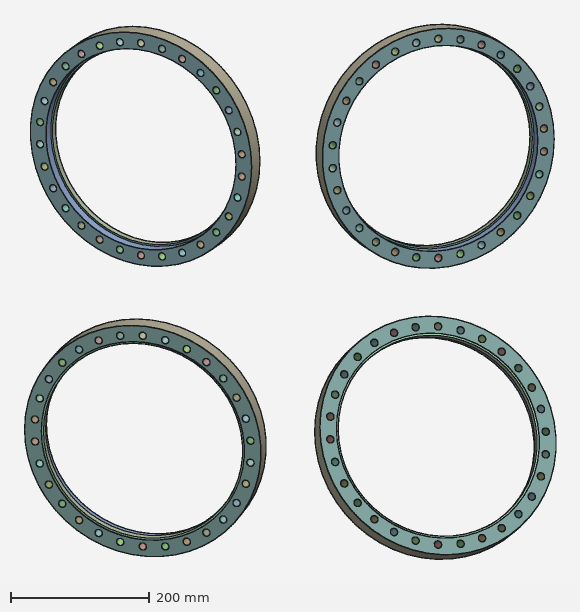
import cadquery as cq

outer_diameter = 355.6
thickness = 28.4
edge_chamfer = 0.5

bore_diameter = 299.0
pocket_diameter = 304.4
pocket_depth = 15.7
pocket_chamfer = 0.4
seal_diameter = 305.0
seal_depth = 1.5

bolt_circle_diameter = 325.4
bolt_hole_diameter = 10.5
bolt_hole_chamfer = 0.4
bolt_count = 30

front_y = -thickness / 2
back_y = thickness / 2


def make_ring():
    """Revolve the ring's cross-section, drawn as (radius, y), about the Y axis."""
    outer_radius = outer_diameter / 2
    bore_radius = bore_diameter / 2
    pocket_radius = pocket_diameter / 2
    seal_radius = seal_diameter / 2
    pocket_floor_y = front_y + pocket_depth
    seal_floor_y = back_y - seal_depth
    section = [
        (pocket_radius + pocket_chamfer, front_y),
        (outer_radius - edge_chamfer, front_y),
        (outer_radius, front_y + edge_chamfer),
        (outer_radius, back_y - edge_chamfer),
        (outer_radius - edge_chamfer, back_y),
        (seal_radius, back_y),
        (seal_radius, seal_floor_y),
        (bore_radius, seal_floor_y),
        (bore_radius, pocket_floor_y),
        (pocket_radius, pocket_floor_y),
        (pocket_radius, front_y + pocket_chamfer),
    ]
    return cq.Workplane("XY").polyline(section).close().revolve(360, (0, 0, 0), (0, 1, 0))


def make_bolt_hole():
    """Cutter for the topmost through hole, with a chamfer at both faces."""
    hole_radius = bolt_hole_diameter / 2
    mouth_radius = hole_radius + bolt_hole_chamfer
    section = [
        (0, front_y),
        (mouth_radius, front_y),
        (hole_radius, front_y + bolt_hole_chamfer),
        (hole_radius, back_y - bolt_hole_chamfer),
        (mouth_radius, back_y),
        (0, back_y),
    ]
    hole = cq.Workplane("XY").polyline(section).close().revolve(360, (0, 0, 0), (0, 1, 0))
    return hole.translate((0, 0, bolt_circle_diameter / 2))


def cut_bolt_holes(ring):
    """Cut through holes evenly spaced on the bolt circle, the first one at the top (+Z)."""
    first_hole = make_bolt_hole()
    for index in range(bolt_count):
        angle = index * 360 / bolt_count
        ring = ring.cut(first_hole.rotate((0, 0, 0), (0, 1, 0), angle))
    return ring


result = cut_bolt_holes(make_ring())